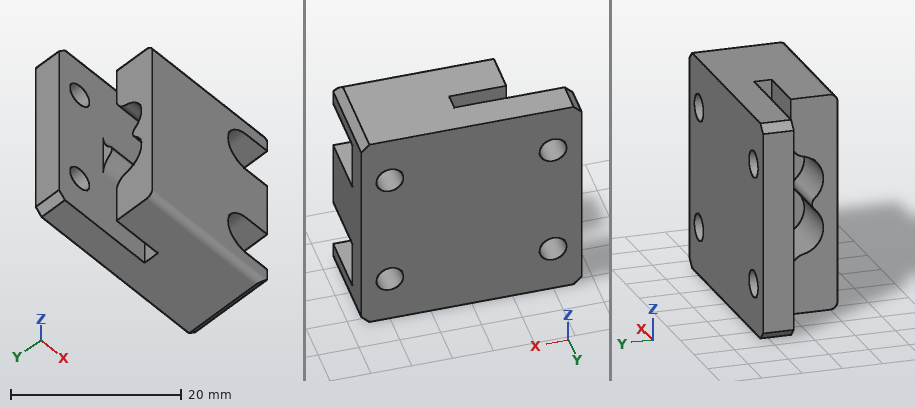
import cadquery as cq
import math

side = 27.0
depth = 11.8
corner_chamfer = 1.0
front_edge_radius = 1.0

plate_thickness = 3.8
jaw_start = 7.5
slot_end = 14.5
slot_width = 2.15

channel_radius = 3.1
channel_half_pitch = 3.08
channel_from_back = plate_thickness + channel_radius
cusp_radius = 1.0
mouth_radius = 2.0
bore_diameter = 3.0
bore_depth = 7.0

screw_diameter = 3.3
screw_inset = 3.5
screw_half_pitch = 7.5
recess_radius = 3.15

cut_margin = 1.35


def y_at(distance_from_back):
    """The part grows from its back face toward -Y."""
    return -distance_from_back


def box(x_min, x_max, back, front, z_min, z_max):
    """Block given by X limits, distances from the back face and Z limits."""
    size = (x_max - x_min, front - back, z_max - z_min)
    corner = cq.Vector(x_min, y_at(front), z_min)
    return cq.Workplane("XY").box(*size, centered=False).translate(corner)


def cylinder_along_x(from_back, z, radius, x_start, length):
    base = cq.Vector(x_start, y_at(from_back), z)
    return cq.Workplane(cq.Solid.makeCylinder(radius, length, base, cq.Vector(1, 0, 0)))


def cylinder_along_y(x, z, radius, length):
    """Cylinder that reaches from behind the part to `length` in front of its start."""
    base = cq.Vector(x, cut_margin, z)
    return cq.Workplane(cq.Solid.makeCylinder(radius, length, base, cq.Vector(0, -1, 0)))


def prism_along_x(points):
    """Prism over the slot length; points are (distance from back, Z)."""
    outline = [(y_at(from_back), z) for from_back, z in points]
    profile = cq.Workplane("YZ", origin=(jaw_start, 0, 0)).polyline(outline).close()
    return profile.extrude(slot_end - jaw_start)


def slot_cylinder(from_back, z, radius):
    return cylinder_along_x(from_back, z, radius, jaw_start, slot_end - jaw_start)


def cable_slot():
    """Flat slot widened by two channels, with rounded cusps and mouths."""
    slot_front = plate_thickness + slot_width
    half = side / 2
    slot = box(jaw_start, slot_end, plate_thickness, slot_front, -half, half)

    cusp_offset = math.sqrt((channel_radius + cusp_radius) ** 2 - channel_half_pitch**2)
    cusp_centres = [channel_from_back + sign * cusp_offset for sign in (-1, 1)]

    mouth_from_back = slot_front + mouth_radius
    mouth_rise = math.sqrt(
        (channel_radius + mouth_radius) ** 2 - (mouth_from_back - channel_from_back) ** 2
    )
    mouth_z = channel_half_pitch + mouth_rise

    ridge = box(
        jaw_start, slot_end, plate_thickness, channel_from_back,
        -channel_half_pitch, channel_half_pitch,
    )
    slot = slot.cut(ridge)

    waist = prism_along_x([
        (cusp_centres[0], 0),
        (channel_from_back, channel_half_pitch),
        (cusp_centres[1], 0),
        (channel_from_back, -channel_half_pitch),
    ])
    for centre in cusp_centres:
        waist = waist.cut(slot_cylinder(centre, 0, cusp_radius))
    slot = slot.union(waist)

    for sign in (-1, 1):
        channel_z = sign * channel_half_pitch
        mouth = prism_along_x([
            (slot_front, channel_z),
            (channel_from_back, channel_z),
            (mouth_from_back, sign * mouth_z),
            (slot_front, sign * mouth_z),
        ])
        mouth = mouth.cut(slot_cylinder(mouth_from_back, sign * mouth_z, mouth_radius))
        slot = slot.union(mouth)
        slot = slot.union(slot_cylinder(channel_from_back, channel_z, channel_radius))
    return slot


def body():
    block = box(0, side, 0, depth, -side / 2, side / 2)
    block = block.edges("|Y").chamfer(corner_chamfer)
    block = block.cut(box(0, jaw_start, plate_thickness, depth, -side / 2, side / 2))
    rounded = box(-cut_margin, side + cut_margin, -cut_margin, depth, -side / 2, side / 2)
    rounded = rounded.edges("|X and <Y").fillet(front_edge_radius)
    return block.intersect(rounded)


def cut_bores(part):
    for sign in (-1, 1):
        z = sign * channel_half_pitch
        part = part.cut(cylinder_along_x(channel_from_back, z, bore_diameter / 2, slot_end, bore_depth))
    return part


def cut_screw_holes(part):
    """Through holes; the far pair sits in recesses open to the +X side."""
    recess_x = side - screw_inset
    for z in (-screw_half_pitch, screw_half_pitch):
        for x in (screw_inset, recess_x):
            part = part.cut(cylinder_along_y(x, z, screw_diameter / 2, depth + 2 * cut_margin))
        recess = box(
            recess_x, side + cut_margin, plate_thickness, depth + cut_margin,
            z - recess_radius, z + recess_radius,
        )
        round_end = cylinder_along_y(recess_x, z, recess_radius, depth + 2 * cut_margin)
        behind_floor = box(0, side, -2 * cut_margin, plate_thickness, -side / 2, side / 2)
        part = part.cut(recess.union(round_end.cut(behind_floor)))
    return part


result = cut_screw_holes(cut_bores(body().cut(cable_slot())))